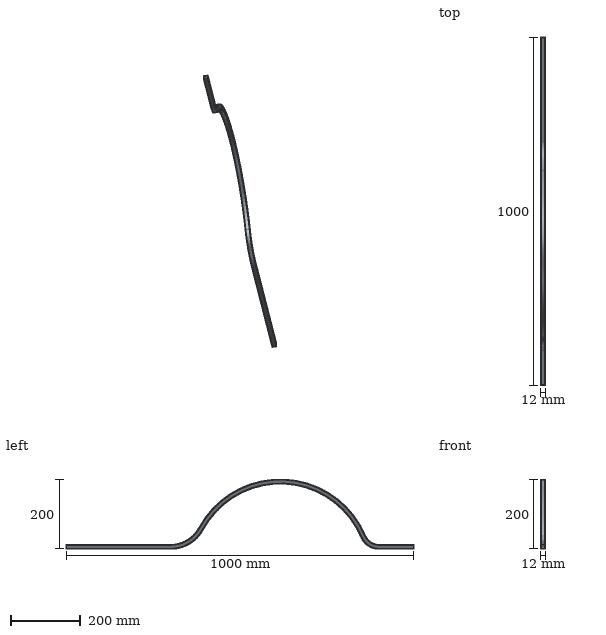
import cadquery as cq
import math

length = 1000.0
height = 200.0
bar_size = 12.0
long_leg = 300.0
short_leg = 100.0
long_leg_bend = 100.0
short_leg_bend = 50.0

leg_z = bar_size / 2
rise = height - bar_size
short_end_y = -length / 2
long_end_y = length / 2
short_bend_y = short_end_y + short_leg
long_bend_y = long_end_y - long_leg

arch_span = long_bend_y - short_bend_y
arch_run = arch_span / 2 + rise * (long_leg_bend - short_leg_bend) / arch_span
arch_y = long_bend_y - arch_run
arch_radius = (arch_run**2 + rise**2) / (2 * rise) - long_leg_bend
arch_z = leg_z + rise - arch_radius


def bend_points(bend_y, bend_radius):
    """Middle of a bend, and the point where it meets the arch."""
    bend_z = leg_z + bend_radius
    to_arch = math.atan2(arch_z - bend_z, arch_y - bend_y)
    mid_y = math.cos(to_arch)
    mid_z = math.sin(to_arch) - 1
    mid_scale = bend_radius / math.hypot(mid_y, mid_z)
    middle = (bend_y + mid_y * mid_scale, bend_z + mid_z * mid_scale)
    joint = (
        bend_y + bend_radius * math.cos(to_arch),
        bend_z + bend_radius * math.sin(to_arch),
    )
    return middle, joint


short_middle, short_joint = bend_points(short_bend_y, short_leg_bend)
long_middle, long_joint = bend_points(long_bend_y, long_leg_bend)

centreline = (
    cq.Workplane("YZ")
    .moveTo(short_end_y, leg_z)
    .lineTo(short_bend_y, leg_z)
    .threePointArc(short_middle, short_joint)
    .threePointArc((arch_y, arch_z + arch_radius), long_joint)
    .threePointArc(long_middle, (long_bend_y, leg_z))
    .lineTo(long_end_y, leg_z)
)

result = (
    cq.Workplane("XZ", origin=(0, short_end_y, leg_z))
    .rect(bar_size, bar_size)
    .sweep(centreline)
)